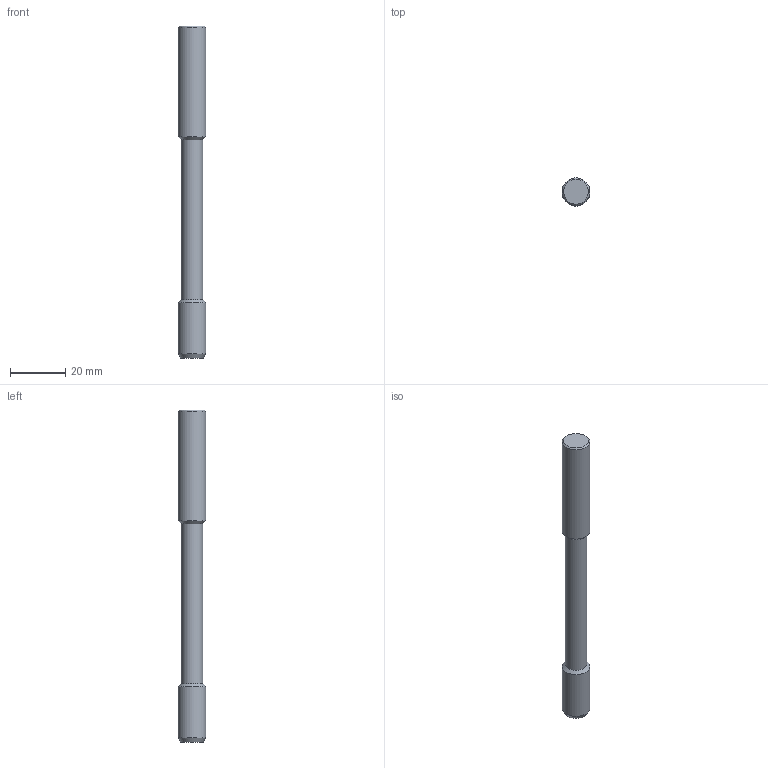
import cadquery as cq
import math

total_length = 120.0
end_diameter = 10.01
neck_diameter = 7.8
lower_end_length = 20.0
upper_end_length = 40.0

end_radius = end_diameter / 2
neck_radius = neck_diameter / 2

tip_bevel_height = 1.5
tip_bevel_angle = 30.0
tip_radius = end_radius - tip_bevel_height * math.tan(math.radians(tip_bevel_angle))
crown_bevel = 0.5
crown_radius = end_radius - crown_bevel
shoulder_height = end_radius - neck_radius

lower_shoulder_edge = lower_end_length
neck_bottom = lower_shoulder_edge + shoulder_height
upper_shoulder_edge = total_length - upper_end_length
neck_top = upper_shoulder_edge - shoulder_height


def make_stud():
    """Revolve the half profile, given as (radius, height) points, about the Z axis."""
    profile = [
        (0, 0),
        (tip_radius, 0),
        (end_radius, tip_bevel_height),
        (end_radius, lower_shoulder_edge),
        (neck_radius, neck_bottom),
        (neck_radius, neck_top),
        (end_radius, upper_shoulder_edge),
        (end_radius, total_length - crown_bevel),
        (crown_radius, total_length),
        (0, total_length),
    ]
    return cq.Workplane("XZ").polyline(profile).close().revolve(360, (0, 0), (0, 1))


stud = make_stud()

result = cq.Compound.makeCompound([stud.val()])